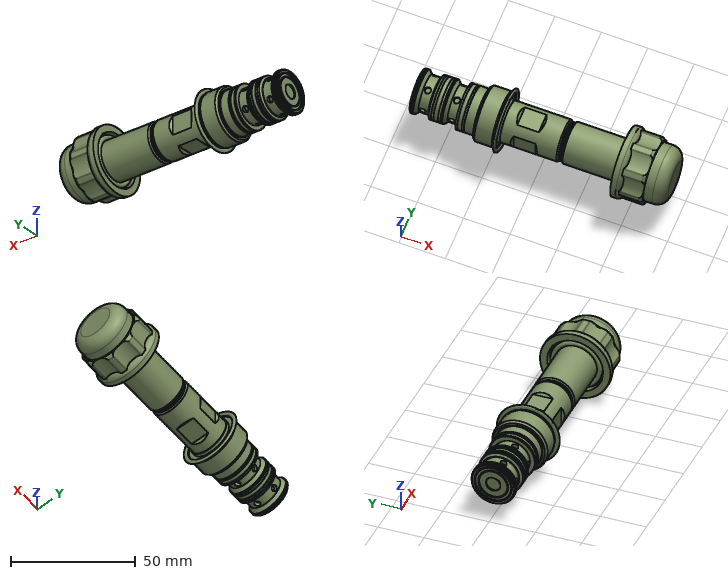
import cadquery as cq
import math

overall_length = 110.8
nut_start = 88.9

neck_radius = 8.0
land_radius = 9.5
end_chamfer = 0.4
end_land_edge = 1.9
land_cone = land_radius - neck_radius
land_start = 7.8
land_face_radius = 8.3
land_crest_start = 8.4
land_cone_start = 14.4

shoulder_start = 20.0
shoulder_radius = 10.0
shoulder_end = 27.8
undercut = 0.3
body_start = shoulder_end + undercut
body_radius = 12.0
body_front_chamfer_length = 1.0
body_front_chamfer_depth = 0.8
body_end = 37.5
body_back_chamfer_length = 0.9
body_back_chamfer_depth = 0.4

tube_radius = 9.0
tube_end = 101.9
collar_end = 39.0
collar_radius = 9.3
tube_groove_start = 63.2
tube_groove_end = 65.9
tube_groove_radius = 8.3
tube_groove_flare = tube_radius - tube_groove_radius
tube_slot_width = 0.5
tube_slot_depth = 0.1
tube_slot_start = (tube_groove_start + tube_groove_end - tube_slot_width) / 2

band_width = 1.9
band_rise = 0.2
land_band_start = 10.5
shoulder_band_start = 20.9

line_groove_depth = 0.1
line_groove_width = 0.1
land_line_places = (1.1, 9.4)
shoulder_line_place = 23.7
land_groove_start = 13.5
land_groove_width = 0.3
land_groove_depth = 0.2
face_groove_inner = 6.1
face_groove_outer = 6.4
face_groove_depth = 0.3
rim_groove_inner = 7.8
rim_groove_outer = 8.1
face_recess_radius = 3.1
face_recess_depth = 0.5

port_count = 5
port_floor_radius = 6.2
port_radius = 1.3
port_places = (5.3, 17.8)

flat_count = 4
flat_start = 44.5
flat_end = 53.8
flat_distance = 7.9
flat_runout = tube_radius - flat_distance

front_ring_width = 1.2
front_ring_height = 2.1
front_ring_outer = 13.6
rear_ring_section = 2.2
rear_ring_inset = 0.3

nut_radius = 30.5 / 2
flange_edge = 91.2
rib_start = 92.4
rib_radius = 14.5
rib_end = 102.2
rib_count = 8
rib_half_width = 1.4
rib_edge_fillet = 0.4
rib_round_start = 100.8
rib_round_middle = (101.8, 14.0)
rib_round_radius = 12.6
flute_floor_radius = 12.9
flute_floor_start = 93.3
cap_radius = 12.5
dome_radius = 5.0
recess_radius = 12.1
recess_depth = 3.1


def revolved(outline):
    """Closed outline of X and radius, turned about the X axis."""
    return outline.close().revolve(360, (0, 0, 0), (1, 0, 0))


def disc(start, end, radius):
    """Solid cylinder about the X axis."""
    return cq.Workplane("YZ").workplane(offset=start).circle(radius).extrude(end - start)


def tube_between(start, end, inner, outer):
    """Hollow cylinder about the X axis."""
    return disc(start, end, outer).cut(disc(start, end, inner))


def seal_ring(place, radius, width, height):
    """Ring about the X axis, with an oval section centred at the given place and radius."""
    return (
        cq.Workplane("XY")
        .center(place, radius)
        .ellipse(width / 2, height / 2)
        .revolve(360, (0, -radius, 0), (1, -radius, 0))
    )


def add_band(outline, start, radius):
    """Continues an outline over a rounded band with a small step at each end."""
    edge_radius = radius - band_rise
    end = start + band_width
    return (
        outline.lineTo(start, radius)
        .lineTo(start, edge_radius)
        .threePointArc((start + band_width / 2, radius), (end, edge_radius))
        .lineTo(end, radius)
    )


def cartridge_blank():
    outline = (
        cq.Workplane("XY")
        .lineTo(0, land_radius - end_chamfer)
        .lineTo(end_chamfer, land_radius)
        .lineTo(end_land_edge, land_radius)
        .lineTo(end_land_edge + land_cone, neck_radius)
        .lineTo(land_start, neck_radius)
        .lineTo(land_start, land_face_radius)
        .lineTo(land_crest_start, land_radius)
    )
    outline = add_band(outline, land_band_start, land_radius)
    outline = (
        outline.lineTo(land_cone_start, land_radius)
        .lineTo(land_cone_start + land_cone, neck_radius)
        .lineTo(shoulder_start, neck_radius)
        .lineTo(shoulder_start, shoulder_radius)
    )
    outline = add_band(outline, shoulder_band_start, shoulder_radius)
    outline = (
        outline.lineTo(shoulder_end, shoulder_radius)
        .lineTo(body_start, shoulder_radius + undercut)
        .lineTo(body_start, body_radius - body_front_chamfer_depth)
        .lineTo(body_start + body_front_chamfer_length, body_radius)
        .lineTo(body_end - body_back_chamfer_length, body_radius)
        .lineTo(body_end, body_radius - body_back_chamfer_depth)
        .lineTo(body_end, collar_radius)
        .lineTo(collar_end, collar_radius)
        .lineTo(collar_end, tube_radius)
        .lineTo(tube_groove_start, tube_radius)
        .lineTo(tube_groove_start + tube_groove_flare, tube_groove_radius)
        .lineTo(tube_groove_end - tube_groove_flare, tube_groove_radius)
        .lineTo(tube_groove_end, tube_radius)
        .lineTo(tube_end, tube_radius)
        .lineTo(tube_end, 0)
    )
    return revolved(outline)


def outer_groove(start, width, surface_radius, depth):
    """Cutter for a square groove round a cylinder."""
    return tube_between(start, start + width, surface_radius - depth, surface_radius + depth)


def port_holes(place):
    """Radial holes whose floor is a cylinder about the X axis."""
    hole = cq.Workplane("XZ").center(place, 0).circle(port_radius).extrude(land_radius)
    hole = hole.cut(disc(0, shoulder_end, port_floor_radius))
    holes = hole
    for index in range(1, port_count):
        holes = holes.union(hole.rotate((0, 0, 0), (1, 0, 0), index * 360 / port_count))
    return holes


def wrench_flats(body):
    top = flat_distance + 2 * flat_runout
    for index in range(flat_count):
        cutter = (
            cq.Workplane("XZ")
            .moveTo(flat_start, flat_distance)
            .lineTo(flat_end, flat_distance)
            .lineTo(flat_end + 2 * flat_runout, top)
            .lineTo(flat_start - 2 * flat_runout, top)
            .close()
            .extrude(tube_radius, both=True)
            .rotate((0, 0, 0), (1, 0, 0), index * 360 / flat_count)
        )
        body = body.cut(cutter)
    return body


def make_cartridge():
    body = cartridge_blank()
    for place in land_line_places:
        body = body.cut(outer_groove(place, line_groove_width, land_radius, line_groove_depth))
    body = body.cut(outer_groove(shoulder_line_place, line_groove_width, shoulder_radius, line_groove_depth))
    body = body.cut(outer_groove(land_groove_start, land_groove_width, land_radius, land_groove_depth))
    body = body.cut(outer_groove(tube_slot_start, tube_slot_width, tube_groove_radius, tube_slot_depth))
    body = body.cut(tube_between(0, face_groove_depth, face_groove_inner, face_groove_outer))
    body = body.cut(tube_between(0, face_groove_depth, rim_groove_inner, rim_groove_outer))
    body = body.cut(disc(0, face_recess_depth, face_recess_radius))
    for place in port_places:
        body = body.cut(port_holes(place))
    return wrench_flats(body)


def rib_envelope():
    """Barrel with a rounded far end that limits the ribs."""
    outline = (
        cq.Workplane("XY")
        .moveTo(flange_edge, 0)
        .lineTo(flange_edge, nut_radius)
        .lineTo(rib_round_start, nut_radius)
        .lineTo(rib_round_start, rib_radius)
        .threePointArc(rib_round_middle, (rib_end, rib_round_radius))
        .lineTo(rib_end, 0)
    )
    return revolved(outline)


def make_ribs():
    """Fluted barrel with rounded rib edges and a rounded end."""
    ribs = disc(flange_edge, rib_end, rib_radius)
    half_angle = math.pi / rib_count - math.asin(rib_half_width / rib_radius)
    chord_place = rib_radius * math.cos(half_angle)
    chord_half = rib_radius * math.sin(half_angle)
    for index in range(rib_count):
        flute = (
            cq.Workplane("YZ")
            .workplane(offset=flange_edge)
            .moveTo(chord_place, -chord_half)
            .threePointArc((flute_floor_radius, 0), (chord_place, chord_half))
            .lineTo(nut_radius, chord_half)
            .lineTo(nut_radius, -chord_half)
            .close()
            .extrude(overall_length - flange_edge)
            .rotate((0, 0, 0), (1, 0, 0), (index + 0.5) * 360 / rib_count)
        )
        ribs = ribs.cut(flute)
    ribs = ribs.edges("|X").fillet(rib_edge_fillet)
    return ribs.intersect(rib_envelope())


def make_nut():
    outline = (
        cq.Workplane("XY")
        .moveTo(nut_start, 0)
        .lineTo(nut_start, nut_radius)
        .lineTo(flange_edge, nut_radius)
        .threePointArc((rib_start, rib_radius), (flute_floor_start, flute_floor_radius))
        .lineTo(flute_floor_start, cap_radius)
        .lineTo(overall_length - dome_radius, cap_radius)
        .radiusArc((overall_length, cap_radius - dome_radius), dome_radius)
        .lineTo(overall_length, 0)
    )
    nut = revolved(outline)
    nut = nut.union(make_ribs())
    nut = nut.cut(disc(nut_start, nut_start + recess_depth, recess_radius))
    return nut.cut(disc(nut_start, tube_end, tube_radius))


cartridge = make_cartridge()
front_ring = seal_ring(
    body_end + front_ring_width / 2,
    front_ring_outer - front_ring_height / 2,
    front_ring_width,
    front_ring_height,
)
rear_ring = seal_ring(
    nut_start + rear_ring_inset + rear_ring_section / 2,
    tube_radius + rear_ring_section / 2,
    rear_ring_section,
    rear_ring_section,
)
nut = make_nut()

result = cq.Compound.makeCompound(
    [cartridge.val(), front_ring.val(), rear_ring.val(), nut.val()]
)